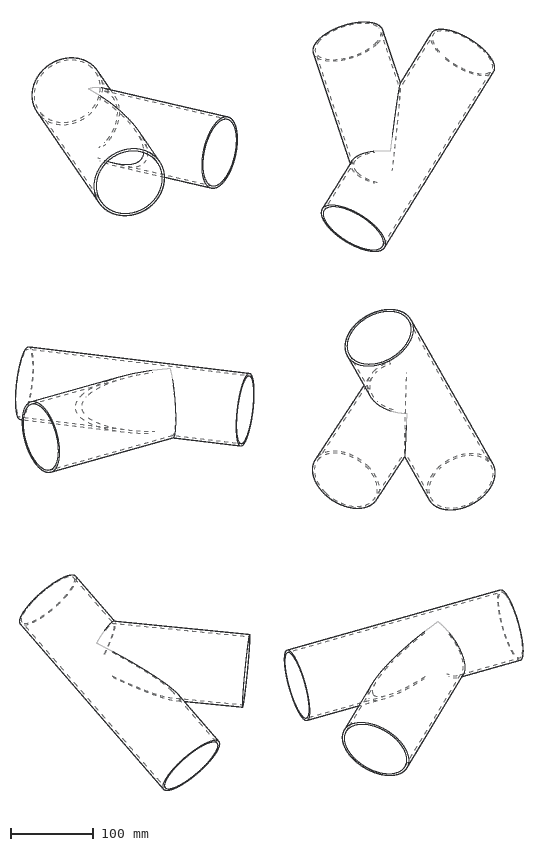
import cadquery as cq
import math

outer_diameter = 88.9
bore_diameter = 82.9

run_length = 276.0

branch_angle = math.radians(45.0)
overall_width = 204.79
branch_reach = overall_width - outer_diameter / 2
rim_rise = outer_diameter / 2 * math.cos(branch_angle)
branch_length = (branch_reach - rim_rise) / math.sin(branch_angle)

crossing_x = run_length - branch_length


def run_cylinder(diameter):
    """Solid cylinder over the run's full length."""
    return cq.Workplane("YZ").circle(diameter / 2).extrude(run_length)


def branch_cylinder(diameter):
    """Solid cylinder from the crossing of the axes to the branch's open end."""
    direction = (math.cos(branch_angle), math.sin(branch_angle), 0)
    base = cq.Plane(origin=(crossing_x, 0, 0), xDir=(0, 0, 1), normal=direction)
    return cq.Workplane(base).circle(diameter / 2).extrude(branch_length)


def joined_cylinders(diameter):
    """Run and branch cylinders of one diameter, joined."""
    return run_cylinder(diameter).union(branch_cylinder(diameter))


result = joined_cylinders(outer_diameter).cut(joined_cylinders(bore_diameter))